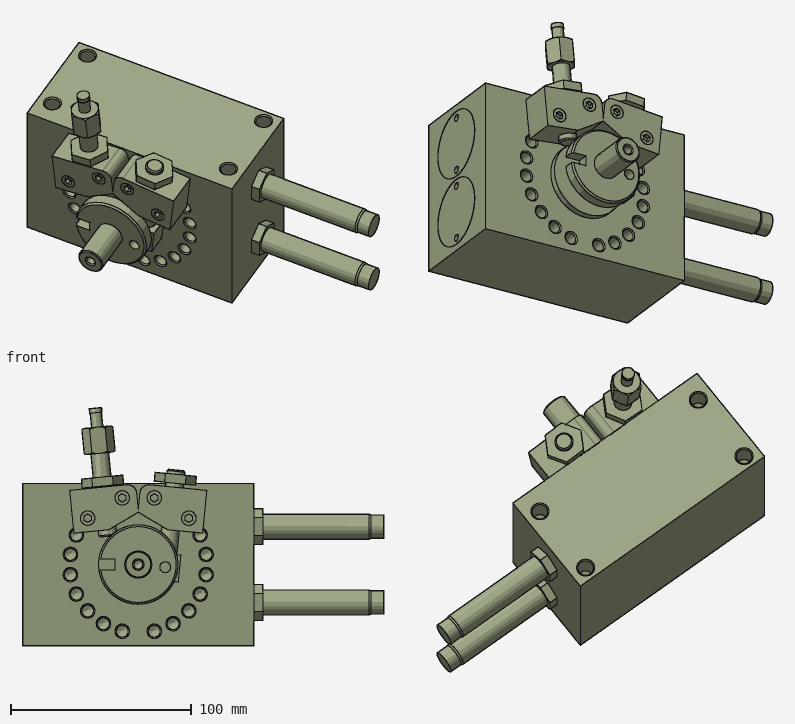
import cadquery as cq
import math


HOUSING_LENGTH = 128
HOUSING_DEPTH = 62
HOUSING_HEIGHT = 90
HALF_LENGTH = HOUSING_LENGTH / 2
HALF_HEIGHT = HOUSING_HEIGHT / 2

BORE_Y = 32
BORE_OFFSET = 21.0
CAP_DIAMETER = 40
CAP_RECESS = 0.2
CAP_HOLE_DIAMETER = 4
CAP_HOLE_OFFSET = 16
CAP_HOLE_DEPTH = 4

TOP_HOLE_SPACING_X = 110
TOP_HOLE_SPACING_Y = 42
TOP_HOLE_FRONT_MARGIN = 13.0
TOP_HOLE_DIAMETER = 8.5
TOP_HOLE_MOUTH = 10
TOP_HOLE_DEPTH = 16

RING_RADIUS = 38
RING_STEP = 17
RING_MIDDLE_STEP = 4.5
OPEN_RING_HOLES = 7
SCREW_STEPS = (7, 9)
FACE_HOLE_DIAMETER = 6.5
FACE_HOLE_MOUTH = 8
FACE_HOLE_DEPTH = 12
DRILL_POINT_ANGLE = 118

LOCK_NUT_CORNERS = 20
LOCK_NUT_THICKNESS = 5.0
ABSORBER_DIAMETER = 14
ABSORBER_LENGTH = 63.8
ABSORBER_BEVEL_LENGTH = 1.2
ABSORBER_TIP_DIAMETER = 13.0
ABSORBER_REACH = 72

DISC_DIAMETER = 44
BACK_DISC_THICKNESS = 4
DISC_GAP = 12
FRONT_DISC_THICKNESS = 7.0
FRONT_DISC_CHAMFER = 1.0
SHAFT_DIAMETER = 15.0
SHAFT_REACH = 47.0
SHAFT_CHAMFER = 0.5
CENTRE_HOLE_DIAMETER = 5.0
CENTRE_HOLE_MOUTH = 6.5
CENTRE_HOLE_DEPTH = 12
NECK_WAIST_DIAMETER = 11.5
SLOT_WIDTH = 6
SLOT_INNER_X = 13.0
PIN_HOLE_DIAMETER = 6
PIN_HOLE_RADIUS = 15.0
LUG_WIDTH = SHAFT_DIAMETER
LUG_INNER = 6
LUG_OUTER = 23.0
GAP_BACK_Y = -BACK_DISC_THICKNESS
GAP_FRONT_Y = GAP_BACK_Y - DISC_GAP
DISC_FRONT_Y = GAP_FRONT_Y - FRONT_DISC_THICKNESS

STOP_TILT = 5.6
STOP_DEPTH = 20
STOP_OUTER_X = -33.8
STOP_INNER_X = 3.0
STOP_BOTTOM_Z = 20.8
STOP_TOP_Z = 44.5
STOP_CORNER_RADIUS = 5.0
STOP_RELIEF_X = -14.2
STOP_RELIEF_Z = 29.0
SCREW_HEAD_DIAMETER = 8
SCREW_HEAD_RECESS = 0.2
SCREW_SOCKET_SIZE = 4
SCREW_SOCKET_DEPTH = 3.0

LEFT_BOLT_X = -15.2
RIGHT_BOLT_X = -15.8
BOLT_DIAMETER = 10
BOLT_CHAMFER = 0.8
BOLT_NUT_FLATS = 20
BOLT_NUT_THICKNESS = 5.0
LEFT_BOLT_BOTTOM_Z = 17.2
LEFT_BOLT_NUT_Z = 45.2
RIGHT_BOLT_NUT_Z = 46.8
RIGHT_BOLT_TOP_Z = 54.2
SENSOR_HEX_BOTTOM_Z = 63.5
SENSOR_HEX_TOP_Z = 78
SENSOR_HEX_FLATS = 15.0
SENSOR_STEM_DIAMETER = 6.5
SENSOR_TIP_BOTTOM_Z = 86
SENSOR_TIP_DIAMETER = 7.0
SENSOR_TOP_Z = 88.5

HEX_HALF_ANGLE = 30
HEX_BEVEL_ANGLE = 30


def hex_corners(flats):
    return flats / math.cos(math.radians(HEX_HALF_ANGLE))


def tapped_hole(diameter, mouth, depth):
    """Cutter along -Z from the origin: bevelled mouth, bore and conical drill point."""
    radius = diameter / 2
    mouth_radius = mouth / 2
    point = radius / math.tan(math.radians(DRILL_POINT_ANGLE / 2))
    profile = [
        (0, 0),
        (mouth_radius, 0),
        (radius, radius - mouth_radius),
        (radius, -depth),
        (0, -depth - point),
    ]
    return cq.Workplane("XZ").polyline(profile).close().revolve(360, (0, 0), (0, 1))


def upright_cylinder(diameter, bottom, top):
    return cq.Workplane("XY").circle(diameter / 2).extrude(top - bottom).translate((0, 0, bottom))


def upright_hex(flats, bottom, top):
    prism = cq.Workplane("XY").polygon(6, hex_corners(flats)).extrude(top - bottom)
    return prism.translate((0, 0, bottom))


def bevelled_hex(flats, bottom, top):
    """Hexagon whose corners are turned off at both ends."""
    corner_radius = hex_corners(flats) / 2
    drop = (corner_radius - flats / 2) * math.tan(math.radians(HEX_BEVEL_ANGLE))
    profile = [
        (0, bottom),
        (flats / 2, bottom),
        (corner_radius, bottom + drop),
        (corner_radius, top - drop),
        (flats / 2, top),
        (0, top),
    ]
    turned = cq.Workplane("XZ").polyline(profile).close().revolve(360, (0, 0), (0, 1))
    return upright_hex(flats, bottom, top).intersect(turned)


def housing_block():
    return cq.Workplane("XY").box(
        HOUSING_LENGTH, HOUSING_DEPTH, HOUSING_HEIGHT, centered=(True, False, True)
    )


def cap_cutters():
    """Shallow recess and two spanner holes of each piston cap in the -X face."""
    cutters = []
    for bore_z in (-BORE_OFFSET, BORE_OFFSET):
        plane = cq.Workplane("YZ", origin=(-HALF_LENGTH, BORE_Y, bore_z))
        cutters.append(plane.circle(CAP_DIAMETER / 2).extrude(CAP_RECESS))
        spots = [(0, -CAP_HOLE_OFFSET), (0, CAP_HOLE_OFFSET)]
        cutters.append(plane.pushPoints(spots).circle(CAP_HOLE_DIAMETER / 2).extrude(CAP_HOLE_DEPTH))
    return cutters


def top_hole_cutters():
    hole = tapped_hole(TOP_HOLE_DIAMETER, TOP_HOLE_MOUTH, TOP_HOLE_DEPTH)
    cutters = []
    for x in (-TOP_HOLE_SPACING_X / 2, TOP_HOLE_SPACING_X / 2):
        for y in (TOP_HOLE_FRONT_MARGIN, TOP_HOLE_FRONT_MARGIN + TOP_HOLE_SPACING_Y):
            cutters.append(hole.translate((x, y, HALF_HEIGHT)))
    return cutters


def ring_point(step):
    """Point (x, z) of the right half of the ring, counted in steps up from the lowest hole."""
    angle = math.radians((step - RING_MIDDLE_STEP) * RING_STEP)
    return RING_RADIUS * math.cos(angle), RING_RADIUS * math.sin(angle)


def face_hole_cutters():
    hole = tapped_hole(FACE_HOLE_DIAMETER, FACE_HOLE_MOUTH, FACE_HOLE_DEPTH)
    hole = hole.rotate((0, 0, 0), (1, 0, 0), 90)
    cutters = []
    for step in range(OPEN_RING_HOLES):
        x, z = ring_point(step)
        for side in (-1, 1):
            cutters.append(hole.translate((side * x, 0, z)))
    return cutters


def shock_absorber(bore_z):
    """Lock nut and bevelled tube with its thinner tip, on the +X face."""
    plane = cq.Workplane("YZ", origin=(HALF_LENGTH, BORE_Y, bore_z))
    nut = plane.polygon(6, LOCK_NUT_CORNERS).extrude(LOCK_NUT_THICKNESS)
    nut = nut.rotate((0, BORE_Y, bore_z), (1, BORE_Y, bore_z), 90)
    radius = ABSORBER_DIAMETER / 2
    tip_radius = ABSORBER_TIP_DIAMETER / 2
    profile = [
        (0, 0),
        (0, radius),
        (ABSORBER_LENGTH, radius),
        (ABSORBER_LENGTH + ABSORBER_BEVEL_LENGTH, tip_radius),
        (ABSORBER_REACH, tip_radius),
        (ABSORBER_REACH, 0),
    ]
    tube = cq.Workplane("XY", origin=(HALF_LENGTH, BORE_Y, bore_z)).polyline(profile).close()
    return nut.union(tube.revolve(360, (0, 0), (1, 0)))


def stop_block():
    """Upright left-hand block, from the housing face forward."""
    outline = [
        (STOP_OUTER_X, STOP_BOTTOM_Z),
        (STOP_RELIEF_X, STOP_BOTTOM_Z),
        (STOP_INNER_X, STOP_RELIEF_Z),
        (STOP_INNER_X, STOP_TOP_Z),
        (STOP_OUTER_X, STOP_TOP_Z),
    ]
    block = cq.Workplane("XZ").polyline(outline).close().extrude(STOP_DEPTH)
    return block.edges("|Y and >X and >Z").fillet(STOP_CORNER_RADIUS)


def add_to_stop(parts, bolt_x):
    """Upright block joined with the parts on its bolt axis."""
    stop = stop_block()
    for part in parts:
        stop = stop.union(part.translate((bolt_x, -STOP_DEPTH / 2, 0)))
    return stop


def bolt_nut(bottom):
    return upright_hex(BOLT_NUT_FLATS, bottom, bottom + BOLT_NUT_THICKNESS)


def left_stop():
    """Block with the short bolt that carries the sensor."""
    bolt = upright_cylinder(BOLT_DIAMETER, LEFT_BOLT_BOTTOM_Z, SENSOR_HEX_BOTTOM_Z)
    parts = [
        bolt.faces("<Z").chamfer(BOLT_CHAMFER),
        bolt_nut(LEFT_BOLT_NUT_Z),
        bevelled_hex(SENSOR_HEX_FLATS, SENSOR_HEX_BOTTOM_Z, SENSOR_HEX_TOP_Z),
        upright_cylinder(SENSOR_STEM_DIAMETER, SENSOR_HEX_TOP_Z, SENSOR_TIP_BOTTOM_Z),
        upright_cylinder(SENSOR_TIP_DIAMETER, SENSOR_TIP_BOTTOM_Z, SENSOR_TOP_Z),
    ]
    return add_to_stop(parts, LEFT_BOLT_X).rotate((0, 0, 0), (0, 1, 0), -STOP_TILT)


def right_stop():
    """Mirrored block with the long bolt that ends on the lug of the rotor."""
    bolt = upright_cylinder(BOLT_DIAMETER, LUG_WIDTH / 2, RIGHT_BOLT_TOP_Z)
    parts = [bolt.faces("<Z or >Z").chamfer(BOLT_CHAMFER), bolt_nut(RIGHT_BOLT_NUT_Z)]
    stop = add_to_stop(parts, RIGHT_BOLT_X).mirror("YZ")
    return stop.rotate((0, 0, 0), (0, 1, 0), STOP_TILT)


def screw_cutters():
    """Recessed heads with hexagon sockets, on the ring of the face holes."""
    plane = cq.Workplane("XZ", origin=(0, -STOP_DEPTH, 0))
    head = plane.circle(SCREW_HEAD_DIAMETER / 2).extrude(-SCREW_HEAD_RECESS)
    socket = plane.polygon(6, hex_corners(SCREW_SOCKET_SIZE)).extrude(-SCREW_SOCKET_DEPTH)
    cutter = head.union(socket.rotate((0, 0, 0), (0, 1, 0), HEX_HALF_ANGLE))
    cutters = []
    for step in SCREW_STEPS:
        x, z = ring_point(step)
        for side in (-1, 1):
            cutters.append(cutter.translate((side * x, 0, z)))
    return cutters


def make_housing():
    body = housing_block()
    for cutter in cap_cutters() + top_hole_cutters() + face_hole_cutters():
        body = body.cut(cutter)
    for bore_z in (-BORE_OFFSET, BORE_OFFSET):
        body = body.union(shock_absorber(bore_z))
    body = body.union(left_stop()).union(right_stop())
    for cutter in screw_cutters():
        body = body.cut(cutter)
    return body


def turned_rotor():
    """Two discs, the waisted neck between them and the output shaft, turned about Y."""
    disc_radius = DISC_DIAMETER / 2
    shaft_radius = SHAFT_DIAMETER / 2
    waist = (NECK_WAIST_DIAMETER / 2, (GAP_BACK_Y + GAP_FRONT_Y) / 2)
    profile = (
        cq.Workplane("XY")
        .moveTo(0, 0)
        .lineTo(disc_radius, 0)
        .lineTo(disc_radius, GAP_BACK_Y)
        .lineTo(shaft_radius, GAP_BACK_Y)
        .threePointArc(waist, (shaft_radius, GAP_FRONT_Y))
        .lineTo(disc_radius, GAP_FRONT_Y)
        .lineTo(disc_radius, DISC_FRONT_Y + FRONT_DISC_CHAMFER)
        .lineTo(disc_radius - FRONT_DISC_CHAMFER, DISC_FRONT_Y)
        .lineTo(shaft_radius, DISC_FRONT_Y)
        .lineTo(shaft_radius, SHAFT_CHAMFER - SHAFT_REACH)
        .lineTo(shaft_radius - SHAFT_CHAMFER, -SHAFT_REACH)
        .lineTo(0, -SHAFT_REACH)
        .close()
    )
    return profile.revolve(360, (0, 0), (0, 1))


def lug():
    """Stop lug between the discs, as wide as the shaft."""
    bar = cq.Workplane("XY").box(
        LUG_OUTER - LUG_INNER, DISC_GAP, LUG_WIDTH, centered=(False, False, True)
    )
    return bar.translate((LUG_INNER, GAP_FRONT_Y, 0))


def pin_hole_cutter():
    front_disc = cq.Workplane("XZ", origin=(0, DISC_FRONT_Y, 0))
    circle = front_disc.center(PIN_HOLE_RADIUS, 0).circle(PIN_HOLE_DIAMETER / 2)
    return circle.extrude(-FRONT_DISC_THICKNESS)


def slot_cutter():
    """Slot through the front disc, open at its -X rim."""
    slot = cq.Workplane("XY").box(
        DISC_DIAMETER, FRONT_DISC_THICKNESS, SLOT_WIDTH, centered=(False, False, True)
    )
    return slot.translate((-SLOT_INNER_X - DISC_DIAMETER, DISC_FRONT_Y, 0))


def centre_hole_cutter():
    hole = tapped_hole(CENTRE_HOLE_DIAMETER, CENTRE_HOLE_MOUTH, CENTRE_HOLE_DEPTH)
    return hole.rotate((0, 0, 0), (1, 0, 0), 90).translate((0, -SHAFT_REACH, 0))


def make_rotor():
    """Rotor turned so that its lug rests squarely on the tilted right-hand bolt."""
    tilt = ((0, 0, 0), (0, 1, 0), STOP_TILT)
    body = turned_rotor().union(lug().rotate(*tilt))
    body = body.cut(pin_hole_cutter().rotate(*tilt))
    return body.cut(slot_cutter()).cut(centre_hole_cutter())


housing = make_housing()
rotor = make_rotor()
result = cq.Compound.makeCompound([housing.solids().val(), rotor.solids().val()])